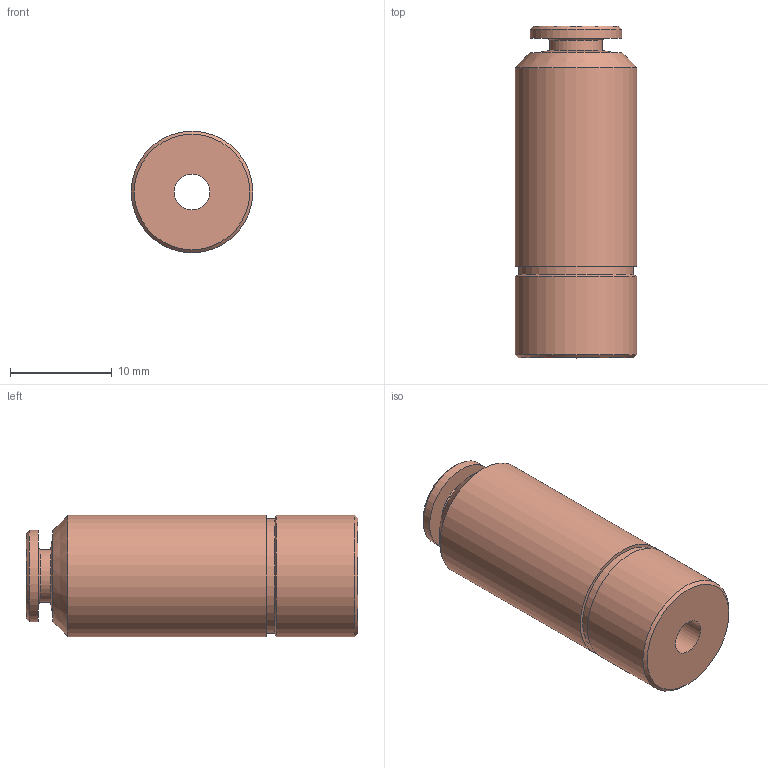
import cadquery as cq

length = 32.6
body_radius = 11.95 / 2
bore_radius = 3.5 / 2

edge_chamfer = 0.3
front_length = 8.0
groove_radius = 11.3 / 2
groove_ramp = 0.19
groove_end = 9.0

shoulder_depth = 1.5
shoulder_radius = 9.0 / 2
end_cone_height = 0.2
end_cone_radius = 3.7

neck_radius = 5.2 / 2
neck_chamfer = 0.2
flange_radius = 9.0 / 2
flange_thickness = 1.2
flange_chamfer = 0.3
neck_gap = 1.4

front_y = -length / 2
rear_y = length / 2
flange_y = rear_y - flange_thickness
rim_y = flange_y - neck_gap
shoulder_y = rim_y - shoulder_depth


def make_part():
    """Revolve the half section (radius, Y) about the Y axis; the bore runs right through."""
    half_section = (
        cq.Workplane("XY")
        .moveTo(bore_radius, front_y)
        .lineTo(body_radius - edge_chamfer, front_y)
        .lineTo(body_radius, front_y + edge_chamfer)
        .lineTo(body_radius, front_y + front_length)
        .lineTo(groove_radius, front_y + front_length + groove_ramp)
        .lineTo(groove_radius, front_y + groove_end)
        .lineTo(body_radius, front_y + groove_end)
        .lineTo(body_radius, shoulder_y)
        .lineTo(shoulder_radius, rim_y)
        .lineTo(end_cone_radius, rim_y)
        .lineTo(neck_radius, rim_y + end_cone_height)
        .lineTo(neck_radius, flange_y - neck_chamfer)
        .lineTo(neck_radius + neck_chamfer, flange_y)
        .lineTo(flange_radius, flange_y)
        .lineTo(flange_radius, rear_y - flange_chamfer)
        .lineTo(flange_radius - flange_chamfer, rear_y)
        .lineTo(bore_radius, rear_y)
        .close()
    )
    return half_section.revolve(360, (0, 0, 0), (0, 1, 0))


result = make_part()